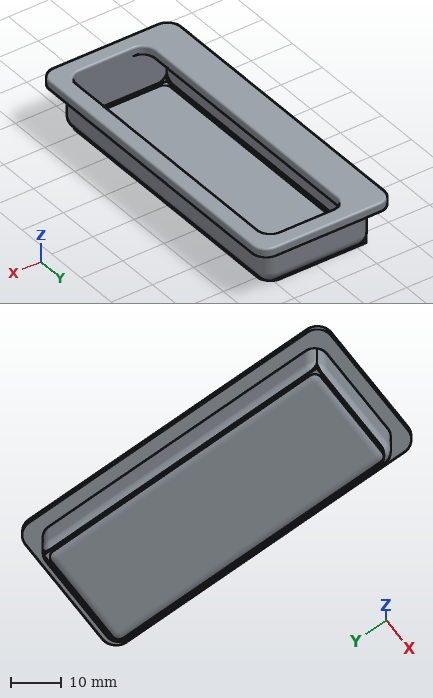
import cadquery as cq

flange_width = 32.0
flange_length = 75.0
flange_thickness = 2.0
flange_corner_radius = 3.4
rim_fillet = 0.5

total_height = 12.0
body_width = 26.0
body_length = 69.0
body_radius = 3.0
blend_clearance = 0.01

wall = 1.0
floor_thickness = 0.5
skin = 0.1
cavity_radius = 3.0
cavity_width = body_width - 2 * wall
cavity_length = body_length - 2 * wall
cavity_bottom = floor_thickness - total_height
cavity_right = cavity_width / 2

opening_width = 19.05
opening_center_x = cavity_right - opening_width / 2


def block(width, length, bottom, top, center_x=0.0):
    """Box centred on Y, spanning the given heights."""
    base = cq.Workplane("XY", origin=(center_x, 0, bottom))
    return base.rect(width, length).extrude(top - bottom)


def make_flange():
    plate = block(flange_width, flange_length, -flange_thickness, 0)
    plate = plate.edges("|Z").fillet(flange_corner_radius)
    return plate.faces(">Z").edges().fillet(rim_fillet)


def make_body():
    body = block(body_width, body_length, -total_height, -flange_thickness)
    body = body.edges("|Z").fillet(body_radius)
    return body.faces("<Z").edges().fillet(body_radius - blend_clearance)


def cavity_shape(offset):
    """Cavity grown outward by offset: sharp corners at -X, rounded at +X."""
    shape = block(
        cavity_width + 2 * offset,
        cavity_length + 2 * offset,
        cavity_bottom - offset,
        -flange_thickness,
    )
    return shape.edges("|Z and >X").fillet(cavity_radius + offset)


def make_opening():
    opening = block(opening_width, cavity_length, -flange_thickness, 0, opening_center_x)
    return opening.edges("|Z").fillet(cavity_radius)


flange = make_flange().cut(make_opening())
lip_edges = cq.selectors.BoxSelector(
    (opening_center_x - opening_width / 2 - rim_fillet, -body_length / 2, -rim_fillet / 2),
    (cavity_right + rim_fillet, body_length / 2, rim_fillet / 2),
)
flange = flange.edges(lip_edges).fillet(rim_fillet)
tray = make_body().union(cavity_shape(skin)).cut(cavity_shape(0))
result = flange.union(tray)